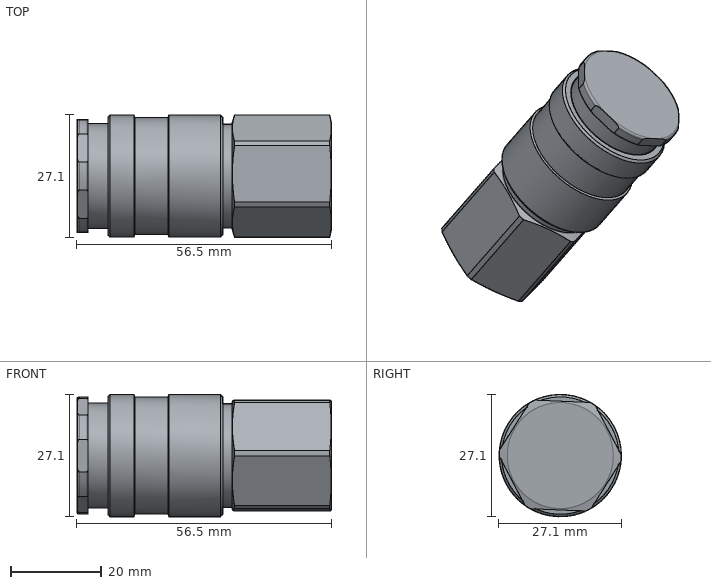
import cadquery as cq
import math

length = 56.45

flange_diameter = 26.0
flange_across_flats = 25.0
flange_width = 2.5
flange_front_fillet = 0.5
flange_rear_fillet = 0.3
flange_turn = 30

front_neck_diameter = 23.35
rear_neck_diameter = 23.1

sleeve_start = 6.85
sleeve_end = 32.35
sleeve_diameter = 27.15
sleeve_front_chamfer = 0.5
sleeve_rear_chamfer = 0.55
groove_start = 12.8
groove_end = 20.2
groove_diameter = 26.0
groove_wall_slope = 0.15

hexagon_start = 34.4
hexagon_across_flats = 24.1
hexagon_corner_diameter = sleeve_diameter
hexagon_face_diameter = 23.55
hexagon_front_chamfer = 0.55
hexagon_rear_chamfer = 0.4
hexagon_turn = -2.4


def cylinder(start, end, diameter):
    """Solid cylinder along X."""
    return cq.Workplane("YZ", origin=(start, 0, 0)).circle(diameter / 2).extrude(end - start)


def hexagonal_bar(start, end, across_flats, turn):
    """Hexagonal bar along X with corners on the Y axis, turned about X by some degrees."""
    across_corners = across_flats / math.cos(math.pi / 6)
    bar = cq.Workplane("YZ", origin=(start, 0, 0)).polygon(6, across_corners).extrude(end - start)
    return bar.rotate((0, 0, 0), (1, 0, 0), turn)


def turned(profile):
    """Solid of revolution about X from (x, radius) points."""
    return cq.Workplane("XY").polyline(profile).close().revolve(360, (0, 0, 0), (1, 0, 0))


def make_flange():
    """Disc with rounded rims and flats facing -Y, +Y and every 60 degrees between."""
    disc = cylinder(0, flange_width, flange_diameter)
    disc = disc.faces("<X").fillet(flange_front_fillet)
    disc = disc.faces(">X").fillet(flange_rear_fillet)
    return disc.intersect(hexagonal_bar(0, flange_width, flange_across_flats, flange_turn))


def make_hexagon():
    """Wrench hexagon with rounded corners and conical chamfers at both ends."""
    corner_radius = hexagon_corner_diameter / 2
    face_radius = hexagon_face_diameter / 2
    envelope = turned([
        (hexagon_start, 0),
        (hexagon_start, face_radius),
        (hexagon_start + hexagon_front_chamfer, corner_radius),
        (length - hexagon_rear_chamfer, corner_radius),
        (length, face_radius),
        (length, 0),
    ])
    return envelope.intersect(hexagonal_bar(hexagon_start, length, hexagon_across_flats, hexagon_turn))


def make_core():
    """Flange, stepped shaft and wrench hexagon in one piece; the sleeve seats on the step."""
    front_neck = cylinder(flange_width, sleeve_start, front_neck_diameter)
    shaft = cylinder(sleeve_start, hexagon_start, rear_neck_diameter)
    return make_flange().union(front_neck).union(shaft).union(make_hexagon())


def make_sleeve():
    """Grip sleeve with a shallow band groove, bored to fit the shaft."""
    outer_radius = sleeve_diameter / 2
    groove_radius = groove_diameter / 2
    bore_radius = rear_neck_diameter / 2
    return turned([
        (sleeve_start, bore_radius),
        (sleeve_start, outer_radius - sleeve_front_chamfer),
        (sleeve_start + sleeve_front_chamfer, outer_radius),
        (groove_start - groove_wall_slope, outer_radius),
        (groove_start, groove_radius),
        (groove_end, groove_radius),
        (groove_end + groove_wall_slope, outer_radius),
        (sleeve_end - sleeve_rear_chamfer, outer_radius),
        (sleeve_end, outer_radius - sleeve_rear_chamfer),
        (sleeve_end, bore_radius),
    ])


core = make_core()
sleeve = make_sleeve()

result = cq.Compound.makeCompound([core.val(), sleeve.val()])